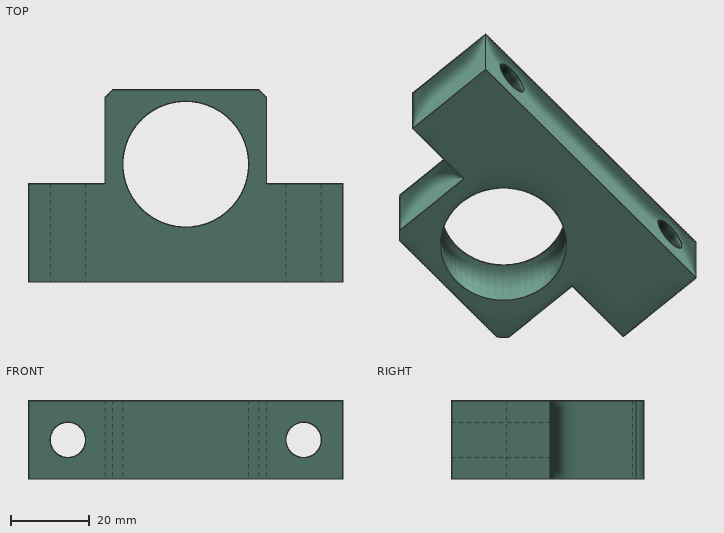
import cadquery as cq

base_length = 80.0
base_depth = 25.0
height = 20.0

total_depth = 49.0
block_width = 41.2
corner_chamfer = 2.0

bore_diameter = 32.0
bore_center_y = 30.0

mount_hole_diameter = 9.0
mount_hole_spacing = 60.0


def make_base():
    return cq.Workplane("XY").box(base_length, base_depth, height, centered=(True, False, False))


def make_block():
    block = cq.Workplane("XY").box(block_width, total_depth, height, centered=(True, False, False))
    return block.edges("|Z and >Y").chamfer(corner_chamfer)


def make_bore():
    return cq.Workplane("XY").center(0, bore_center_y).circle(bore_diameter / 2).extrude(height)


def make_mount_holes():
    return (
        cq.Workplane("XZ")
        .center(0, height / 2)
        .pushPoints([(-mount_hole_spacing / 2, 0), (mount_hole_spacing / 2, 0)])
        .circle(mount_hole_diameter / 2)
        .extrude(-base_depth)
    )


result = make_base().union(make_block()).cut(make_bore()).cut(make_mount_holes())